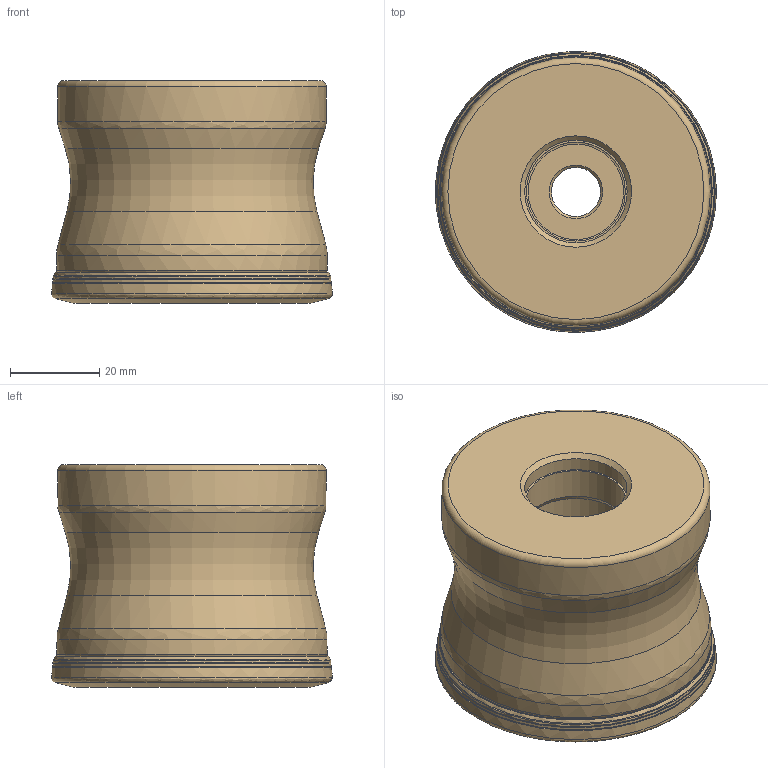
import cadquery as cq
import math

TOTAL_HEIGHT = 50.0
BASE_HEIGHT = 7.05
SEAT_DEPTH = 0.4
SEAT_HEIGHT = BASE_HEIGHT - SEAT_DEPTH

HEAD_RADIUS = 30.12
SKIRT_RADIUS = 30.35
WAIST_RADIUS = 27.2
WAIST_ARC_RADIUS = 25.0
WAIST_HEIGHT = 27.1
HEAD_CONE_ANGLE = math.radians(18)
SKIRT_CONE_ANGLE = math.radians(15)
HEAD_TOP_FILLET = 1.4
HEAD_CONE_FILLET = 5.0
SKIRT_CONE_FILLET = 10.0
SKIRT_BOTTOM_FILLET = 0.8

BORE_RADIUS = 11.5
BORE_CHAMFER = 1.0
BORE_DEPTH = 40.0
BORE_FLOOR_FILLET = 0.8
RIB_RADIUS = 11.1
RIB_TOP_DEPTH = 4.0
RIB_BOTTOM_DEPTH = 11.0
RIB_CONE_HEIGHT = 0.9
HOLE_RADIUS = 5.5
HOLE_CHAMFER = 0.5

BASE_TOP_RADIUS = 30.6
BASE_SHOULDER_RADIUS = 31.1
BASE_SHOULDER_HEIGHT = 6.2
BASE_SHOULDER_FILLET = 0.6
BASE_TOP_FILLET = 0.1
SEAT_RIM_FILLET = 0.1
BASE_CORNER_RADIUS = 31.62
BASE_CORNER_HEIGHT = 1.35
BASE_BOTTOM_RADIUS = 26.4
BASE_CORNER_FILLET = 1.1
GROOVE_HEIGHTS = (4.62, 5.42)
GROOVE_WIDTH = 0.2
GROOVE_DEPTH = 0.1

EDGE_TOLERANCE = 0.01


def fillet_rim(body, radius, height, fillet):
    """Round the circular edge of the given radius and height."""
    reach = radius + EDGE_TOLERANCE
    rim = cq.selectors.BoxSelector(
        (-reach, -reach, height - EDGE_TOLERANCE),
        (reach, reach, height + EDGE_TOLERANCE),
        boundingbox=True,
    )
    ring = [edge for edge in body.edges(rim).vals() if abs(edge.radius() - radius) < EDGE_TOLERANCE]
    return body.newObject(ring).fillet(fillet)


def waist_point(angle):
    """Point on the waist arc, at an angle above the narrowest height."""
    return (
        WAIST_RADIUS + WAIST_ARC_RADIUS * (1 - math.cos(angle)),
        WAIST_HEIGHT + WAIST_ARC_RADIUS * math.sin(angle),
    )


def make_knob():
    """Waisted knob with a ribbed blind bore and a smaller through hole."""
    waist_top = waist_point(HEAD_CONE_ANGLE)
    waist_bottom = waist_point(-SKIRT_CONE_ANGLE)
    head_bottom = waist_top[1] + (HEAD_RADIUS - waist_top[0]) / math.tan(HEAD_CONE_ANGLE)
    skirt_top = waist_bottom[1] - (SKIRT_RADIUS - waist_bottom[0]) / math.tan(SKIRT_CONE_ANGLE)
    floor = TOTAL_HEIGHT - BORE_DEPTH
    rib_top = TOTAL_HEIGHT - RIB_TOP_DEPTH
    rib_bottom = TOTAL_HEIGHT - RIB_BOTTOM_DEPTH

    knob = (
        cq.Workplane("XZ")
        .moveTo(HOLE_RADIUS, SEAT_HEIGHT)
        .lineTo(SKIRT_RADIUS, SEAT_HEIGHT)
        .lineTo(SKIRT_RADIUS, skirt_top)
        .lineTo(*waist_bottom)
        .threePointArc((WAIST_RADIUS, WAIST_HEIGHT), waist_top)
        .lineTo(HEAD_RADIUS, head_bottom)
        .lineTo(HEAD_RADIUS, TOTAL_HEIGHT)
        .lineTo(BORE_RADIUS + BORE_CHAMFER, TOTAL_HEIGHT)
        .lineTo(BORE_RADIUS, TOTAL_HEIGHT - BORE_CHAMFER)
        .lineTo(BORE_RADIUS, rib_top)
        .lineTo(RIB_RADIUS, rib_top)
        .lineTo(RIB_RADIUS, rib_bottom)
        .lineTo(BORE_RADIUS, rib_bottom - RIB_CONE_HEIGHT)
        .lineTo(BORE_RADIUS, floor)
        .lineTo(HOLE_RADIUS + HOLE_CHAMFER, floor)
        .lineTo(HOLE_RADIUS, floor - HOLE_CHAMFER)
        .close()
        .revolve(360, (0, 0), (0, 1))
    )
    knob = fillet_rim(knob, HEAD_RADIUS, TOTAL_HEIGHT, HEAD_TOP_FILLET)
    knob = fillet_rim(knob, HEAD_RADIUS, head_bottom, HEAD_CONE_FILLET)
    knob = fillet_rim(knob, SKIRT_RADIUS, skirt_top, SKIRT_CONE_FILLET)
    knob = fillet_rim(knob, SKIRT_RADIUS, SEAT_HEIGHT, SKIRT_BOTTOM_FILLET)
    return fillet_rim(knob, BORE_RADIUS, floor, BORE_FLOOR_FILLET)


def side_radius(height):
    """Radius of the tapered base side at a height below the shoulder."""
    drop = (BASE_SHOULDER_HEIGHT - height) / (BASE_SHOULDER_HEIGHT - BASE_CORNER_HEIGHT)
    return BASE_SHOULDER_RADIUS + drop * (BASE_CORNER_RADIUS - BASE_SHOULDER_RADIUS)


def make_base():
    """Tapered base disc with a rimmed seat for the knob and fine grooves around its side."""
    outline = (
        cq.Workplane("XZ")
        .moveTo(HOLE_RADIUS, 0)
        .lineTo(BASE_BOTTOM_RADIUS, 0)
        .lineTo(BASE_CORNER_RADIUS, BASE_CORNER_HEIGHT)
    )
    for height in GROOVE_HEIGHTS:
        bottom = height - GROOVE_WIDTH / 2
        top = height + GROOVE_WIDTH / 2
        outline = (
            outline.lineTo(side_radius(bottom), bottom)
            .lineTo(side_radius(height) - GROOVE_DEPTH, height)
            .lineTo(side_radius(top), top)
        )
    base = (
        outline.lineTo(BASE_SHOULDER_RADIUS, BASE_SHOULDER_HEIGHT)
        .lineTo(BASE_TOP_RADIUS, BASE_HEIGHT)
        .lineTo(SKIRT_RADIUS, BASE_HEIGHT)
        .lineTo(SKIRT_RADIUS, SEAT_HEIGHT)
        .lineTo(HOLE_RADIUS, SEAT_HEIGHT)
        .close()
        .revolve(360, (0, 0), (0, 1))
    )
    base = fillet_rim(base, BASE_CORNER_RADIUS, BASE_CORNER_HEIGHT, BASE_CORNER_FILLET)
    base = fillet_rim(base, BASE_SHOULDER_RADIUS, BASE_SHOULDER_HEIGHT, BASE_SHOULDER_FILLET)
    base = fillet_rim(base, BASE_TOP_RADIUS, BASE_HEIGHT, BASE_TOP_FILLET)
    return fillet_rim(base, SKIRT_RADIUS, BASE_HEIGHT, SEAT_RIM_FILLET)


knob = make_knob()
base = make_base()
result = cq.Compound.makeCompound([knob.val(), base.val()])